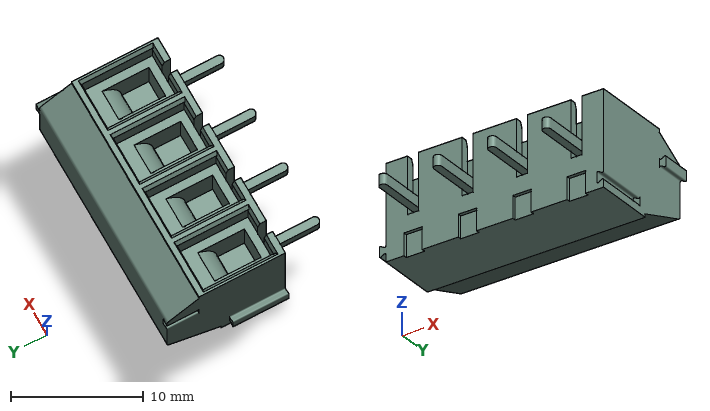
import cadquery as cq
import math


ways = 4
pitch = 5.0
body_length = ways * pitch
body_depth = 10.22
body_height = 8.6
ledge_y = 7.46
foot_y = 5.55
step_height = 0.3
upper_slope_end_z = 6.65
lower_slope_end_z = 2.04
rear_edge_radius = 0.34

pocket_width = 4.07
pocket_front_y = 0.75
pocket_rear_y = 6.8
pocket_floor_z = 6.85
side_bevel = 0.28
end_bevel_height = 0.5
front_bevel_run = 0.2
rear_bevel_run = 0.17

recess_width = 2.63
recess_front_y = 1.45
recess_rear_y = 5.47
recess_radius = 3.3
recess_wall_run = 1.67
recess_wall_angle = math.acos(1 - recess_wall_run / recess_radius)
recess_floor_z = pocket_floor_z - recess_radius * math.sin(recess_wall_angle)

pin_width = 0.72
pin_thickness = 0.95
pin_bottom_z = 3.92
pin_length = 4.28
slot_width = 1.0
slot_bottom_z = 3.5

notch_width = 1.67
notch_height = 2.0
notch_depth = 0.32

rail_reach = 0.6
groove_reach = 0.61
rail_rounding = 0.1
rounding_centre_height = 0.38
front_rail_z = 1.04
front_rail_length = 4.83
rear_rail_z = 5.64
front_run = (0, front_rail_length)
rear_run = (ledge_y, body_depth)


def box(x_range, y_range, z_range):
    """Axis-aligned block from its (low, high) limits."""
    sizes = [high - low for low, high in (x_range, y_range, z_range)]
    corner = (x_range[0], y_range[0], z_range[0])
    return cq.Workplane("XY").box(*sizes, centered=False).translate(corner)


def centred(middle, width):
    return (middle - width / 2, middle + width / 2)


def make_body():
    profile = [
        (0, 0),
        (foot_y, 0),
        (foot_y, step_height),
        (body_depth, lower_slope_end_z),
        (body_depth, upper_slope_end_z),
        (ledge_y, body_height - step_height),
        (ledge_y, body_height),
        (0, body_height),
    ]
    body = cq.Workplane("YZ").polyline(profile).close().extrude(body_length)
    rear_edges = body.faces(">Y").edges("|X")
    return rear_edges.fillet(rear_edge_radius)


def make_pocket(middle_x):
    x_low, x_high = centred(middle_x, pocket_width)
    side_bevel_z = body_height - side_bevel
    across = [
        (x_low, pocket_floor_z),
        (x_low, side_bevel_z),
        (x_low - side_bevel, body_height),
        (x_high + side_bevel, body_height),
        (x_high, side_bevel_z),
        (x_high, pocket_floor_z),
    ]
    end_bevel_z = body_height - end_bevel_height
    along = [
        (pocket_front_y, pocket_floor_z),
        (pocket_front_y, end_bevel_z),
        (pocket_front_y - front_bevel_run, body_height),
        (pocket_rear_y + rear_bevel_run, body_height),
        (pocket_rear_y, end_bevel_z),
        (pocket_rear_y, pocket_floor_z),
    ]
    channel = cq.Workplane("XZ").polyline(across).close().extrude(-body_depth)
    trough = (
        cq.Workplane("YZ", origin=(middle_x, 0, 0))
        .polyline(along)
        .close()
        .extrude(pitch / 2, both=True)
    )
    return channel.intersect(trough)


def make_recess(middle_x):
    wall_foot_y = recess_rear_y - recess_wall_run
    axis_y = wall_foot_y + recess_radius
    half_angle = recess_wall_angle / 2
    arc_middle = (
        axis_y - recess_radius * math.cos(half_angle),
        recess_floor_z + recess_radius * math.sin(half_angle),
    )
    return (
        cq.Workplane("YZ", origin=(middle_x, 0, 0))
        .moveTo(recess_front_y, pocket_floor_z)
        .lineTo(recess_front_y, recess_floor_z)
        .lineTo(wall_foot_y, recess_floor_z)
        .threePointArc(arc_middle, (recess_rear_y, pocket_floor_z))
        .close()
        .extrude(recess_width / 2, both=True)
    )


def make_slot(middle_x):
    return box(centred(middle_x, slot_width), (0, pocket_front_y), (slot_bottom_z, body_height))


def make_notch(middle_x):
    return box(centred(middle_x, notch_width), (0, notch_depth), (0, notch_height))


def make_pin(middle_x):
    tip_radius = pin_width / 2
    shoulder_y = tip_radius - pin_length
    return (
        cq.Workplane("XY", origin=(middle_x, 0, pin_bottom_z))
        .moveTo(tip_radius, pocket_front_y)
        .lineTo(tip_radius, shoulder_y)
        .threePointArc((0, -pin_length), (-tip_radius, shoulder_y))
        .lineTo(-tip_radius, pocket_front_y)
        .close()
        .extrude(pin_thickness)
    )


def make_dovetail(root_x, middle_z, y_range, reach):
    """Dovetail bar along Y that widens from its root towards -X.

    Each sloping flank runs tangent into a rounding at the tip and another at the root.
    """
    tip_centre_x = rail_rounding - reach
    root_centre_x = -rail_rounding
    flank_angle = math.asin(2 * rail_rounding / (root_centre_x - tip_centre_x))
    flank_normal = math.pi / 2 - flank_angle
    arc_half_way = (math.pi + flank_normal) / 2

    def on_rounding(centre_x, angle):
        x = centre_x + rail_rounding * math.cos(angle)
        z = rounding_centre_height + rail_rounding * math.sin(angle)
        return (x, z)

    root_start = on_rounding(root_centre_x, 0)
    root_half_way = on_rounding(root_centre_x, arc_half_way + math.pi)
    root_end = on_rounding(root_centre_x, flank_normal + math.pi)
    tip_start = on_rounding(tip_centre_x, flank_normal)
    tip_half_way = on_rounding(tip_centre_x, arc_half_way)
    tip_end = on_rounding(tip_centre_x, math.pi)

    def mirrored(point):
        return (point[0], -point[1])

    return (
        cq.Workplane("XZ", origin=(root_x, y_range[0], middle_z))
        .moveTo(*root_start)
        .threePointArc(root_half_way, root_end)
        .lineTo(*tip_start)
        .threePointArc(tip_half_way, tip_end)
        .lineTo(*mirrored(tip_end))
        .threePointArc(mirrored(tip_half_way), mirrored(tip_start))
        .lineTo(*mirrored(root_end))
        .threePointArc(mirrored(root_half_way), mirrored(root_start))
        .close()
        .extrude(y_range[0] - y_range[1])
    )


def make_left_rail():
    return make_dovetail(0, front_rail_z, front_run, rail_reach)


def make_right_groove():
    return make_dovetail(body_length, front_rail_z, front_run, groove_reach)


def make_right_rail():
    rail = make_dovetail(0, rear_rail_z, rear_run, rail_reach)
    return rail.mirror("YZ").translate((body_length, 0, 0))


def make_left_groove():
    groove = make_dovetail(0, rear_rail_z, rear_run, groove_reach)
    return groove.mirror("YZ")


result = make_body()
for way in range(ways):
    way_x = (way + 0.5) * pitch
    for cutter in (make_pocket, make_recess, make_slot, make_notch):
        result = result.cut(cutter(way_x))
    result = result.union(make_pin(way_x))

result = result.cut(make_left_groove()).cut(make_right_groove())
result = result.union(make_left_rail()).union(make_right_rail())